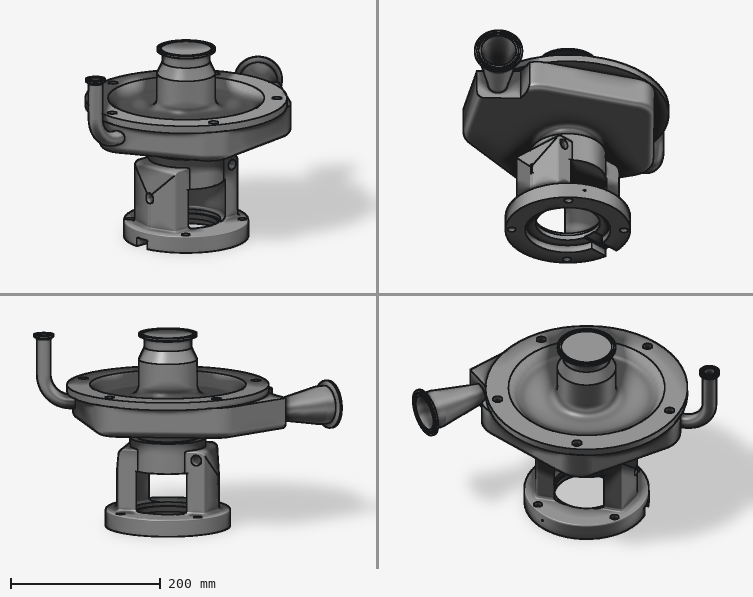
import cadquery as cq
import math

base_radius = 83.5
base_height = 23.3
base_edge_radius = 2.5
base_bore_radius = 46.0
base_lip_radius = 43.0
base_lip_bottom = 10.8
base_recess_radius = 57.0
base_lip_top = 18.0
pedestal_bore_radius = 52.2
base_bolt_radius = 75.0
base_bolt_diameter = 11.0
base_bolt_count = 4
first_base_bolt_angle = 45.0
notch_width = 20.0
notch_height = 12.4
notch_chamfer = 1.5
pin_hole_diameter = 2.0
pin_hole_depth = 5.0
pin_hole_y = 41.7
pin_hole_z = 12.6

leg_half_width = 39.2
leg_top = 109.0
leg_shoulder_y = 58.8
leg_nose_y = 69.5
leg_nose_half_width = 3.2
leg_slope_start = 71.0
leg_slope_end_y = 57.4
leg_edge_radius = 2.5
leg_shoulder_radius = 9.0
foot_radius = 5.0
leg_hole_diameter = 14.0
leg_hole_z = 66.0
leg_slit_width = 3.6
cross_hole_y = 47.6
cross_hole_z = 97.2

collar_radius = 50.7
collar_bottom = 79.0
collar_top = 120.0
neck_radius = 41.5
neck_chamfer = 1.0
neck_flare_radius = 10.0

casing_bottom = 139.2
casing_top = 181.7
casing_face_distance = 115.3
casing_corner_radius = 35.0
casing_edge_radius = 10.0
casing_side_count = 5
first_corner_angle = 189.0
outlet_side_angle = 54.9
outlet_side_distance = 139.7
outlet_face_angle = 135.0
outlet_face_distance = 109.1
tongue_shift = 11.8
tongue_arc_end_angle = 117.0
tongue_side_angle = 73.0

flange_radius = 135.0
flange_top = 191.7
flange_bolt_radius = 121.6
flange_bolt_diameter = 12.5
flange_first_bolt_angle = 45.0
dish_rim_radius = 104.5
dish_cone_radius = 93.3
dish_cone_angle = 45.0
dish_blend_radius = 15.0

suction_top = 261.0
suction_large_radius = 39.2
suction_large_top = 226.2
suction_tube_radius = 31.75
suction_tube_bottom = 242.4
suction_clamp_radius = 38.9
suction_groove_inner = 34.0
suction_groove_outer = 36.6

nozzle_axis_offset = 95.0
nozzle_height = 160.6
nozzle_length = 86.0
nozzle_clamp_radius = 32.0
nozzle_tube_radius = 25.4
nozzle_tube_length = 18.5
nozzle_end_radius = 13.3
nozzle_end_length = 1.5
nozzle_bore_radius = 23.4
nozzle_bore_length = 12.2
nozzle_reducer_radius = 22.0
nozzle_reducer_depth = 25.0
nozzle_bore_end_radius = 11.0
nozzle_groove_inner = 26.5
nozzle_groove_outer = 29.0

drain_y = -170.1
drain_height = 163.0
drain_top = 252.8
drain_bend_radius = 35.5
drain_pipe_radius = 9.5
drain_bore_radius = 7.5
drain_clamp_radius = 13.2
drain_groove_inner = 9.5
drain_groove_outer = 11.5

ferrule_rim = 2.8
ferrule_taper = 3.0
groove_depth = 0.8

tolerance = 0.1


def polar(radius, angle):
    """Point at a radius and an angle in degrees."""
    return cq.Vector(radius * math.cos(math.radians(angle)), radius * math.sin(math.radians(angle)), 0)


def cylinder(radius, bottom, top):
    return cq.Workplane("XY", origin=(0, 0, bottom)).circle(radius).extrude(top - bottom)


def revolve_profile(profile):
    """Turn a closed (radius, height) profile drawn on XZ about the Z axis."""
    return profile.close().revolve(360, (0, 0, 0), (0, 1, 0))


def line_crossing(angle_a, distance_a, angle_b, distance_b):
    """Crossing of two lines, each given by its normal angle and distance from the axis."""
    turn = math.radians(angle_b - angle_a)
    along = (distance_b - distance_a * math.cos(turn)) / math.sin(turn)
    return polar(distance_a, angle_a) + polar(along, angle_a + 90)


def ferrule(face_z, rim_radius, tube_radius, groove_inner, groove_outer):
    """Clamp ferrule with a gasket groove; its sealing face points up at face_z."""
    rim_bottom = face_z - ferrule_rim
    body = revolve_profile(
        cq.Workplane("XZ")
        .moveTo(0, face_z)
        .lineTo(rim_radius, face_z)
        .lineTo(rim_radius, rim_bottom)
        .lineTo(tube_radius, rim_bottom - ferrule_taper)
        .lineTo(0, rim_bottom - ferrule_taper)
    )
    groove = (
        cq.Workplane("XY", origin=(0, 0, face_z))
        .circle(groove_outer)
        .circle(groove_inner)
        .extrude(-groove_depth)
    )
    return body.cut(groove)


def leg_block():
    """Solid block for both legs: a plan with vee-shaped ends, trimmed by a sloping side profile."""
    plan = (
        cq.Workplane("XY")
        .moveTo(leg_half_width, -leg_shoulder_y)
        .lineTo(leg_half_width, leg_shoulder_y)
        .lineTo(leg_nose_half_width, leg_nose_y)
        .lineTo(-leg_nose_half_width, leg_nose_y)
        .lineTo(-leg_half_width, leg_shoulder_y)
        .lineTo(-leg_half_width, -leg_shoulder_y)
        .lineTo(-leg_nose_half_width, -leg_nose_y)
        .lineTo(leg_nose_half_width, -leg_nose_y)
        .close()
        .extrude(leg_top)
        .faces(">X or <X").edges("|Z").fillet(leg_edge_radius)
    )
    slope = (leg_nose_y - leg_slope_end_y) / (leg_top - leg_slope_start)
    profile = (
        cq.Workplane("YZ")
        .moveTo(-leg_nose_y - slope * leg_slope_start, 0)
        .lineTo(-leg_slope_end_y, leg_top)
        .lineTo(leg_slope_end_y, leg_top)
        .lineTo(leg_nose_y + slope * leg_slope_start, 0)
        .close()
        .extrude(leg_half_width, both=True)
        .faces(">Z").edges("|X").fillet(leg_shoulder_radius)
        .faces(">X or <X").edges("not <Z").fillet(leg_edge_radius)
    )
    return plan.intersect(profile)


def pedestal():
    base = cylinder(base_radius, 0, base_height).faces(">Z").edges().fillet(base_edge_radius)
    body = base.union(leg_block())
    foot_zone = cq.selectors.BoxSelector(
        (-leg_half_width - tolerance, -leg_nose_y - tolerance, base_height - tolerance),
        (leg_half_width + tolerance, leg_nose_y + tolerance, base_height + tolerance),
        boundingbox=True,
    )
    body = body.edges(foot_zone).fillet(foot_radius)
    bore = revolve_profile(
        cq.Workplane("XZ")
        .moveTo(0, base_height)
        .lineTo(pedestal_bore_radius - foot_radius, base_height)
        .radiusArc((pedestal_bore_radius, base_height + foot_radius), -foot_radius)
        .lineTo(pedestal_bore_radius, collar_bottom)
        .lineTo(0, collar_bottom)
    )
    body = body.cut(bore)
    body = body.cut(cylinder(base_lip_radius, 0, base_height))
    body = body.cut(cylinder(base_recess_radius, 0, base_lip_bottom))
    body = body.cut(cylinder(base_bore_radius, base_lip_top, base_height))
    return body.union(cylinder(collar_radius, collar_bottom, collar_top))


def pedestal_cuts():
    bolts = (
        cq.Workplane("XY")
        .polarArray(base_bolt_radius, first_base_bolt_angle, 360, base_bolt_count)
        .circle(base_bolt_diameter / 2)
        .extrude(base_height)
    )
    notch = (
        cq.Workplane("XY", origin=(0, -base_radius / 2, 0))
        .box(notch_width, base_radius, notch_height, centered=(True, True, False))
        .faces(">Z").edges("|Y").chamfer(notch_chamfer)
    )
    pin_hole_floor = -math.sqrt(base_radius**2 - pin_hole_y**2) + pin_hole_depth
    pin_hole = (
        cq.Workplane("YZ", origin=(pin_hole_floor, pin_hole_y, pin_hole_z))
        .circle(pin_hole_diameter / 2)
        .extrude(-base_radius)
    )
    leg_hole = (
        cq.Workplane("XZ", origin=(0, 0, leg_hole_z))
        .circle(leg_hole_diameter / 2)
        .extrude(base_radius)
    )
    leg_slit = (
        cq.Workplane("XZ", origin=(0, 0, leg_hole_z))
        .rect(leg_slit_width, leg_hole_diameter)
        .extrude(-base_radius)
    )
    cross_hole = (
        cq.Workplane("YZ", origin=(0, cross_hole_y, cross_hole_z))
        .circle(leg_hole_diameter / 2)
        .extrude(base_radius, both=True)
    )
    return [bolts, notch, pin_hole, leg_hole, leg_slit, cross_hole]


def neck():
    return revolve_profile(
        cq.Workplane("XZ")
        .moveTo(0, collar_top)
        .lineTo(neck_radius - neck_chamfer, collar_top)
        .lineTo(neck_radius, collar_top + neck_chamfer)
        .lineTo(neck_radius, casing_bottom - neck_flare_radius)
        .radiusArc((neck_radius + neck_flare_radius, casing_bottom), neck_flare_radius)
        .lineTo(0, casing_bottom)
    )


def add_corner(path, center, start_angle, end_angle):
    """Extend the casing outline with a corner arc between two normal angles."""
    middle = center + polar(casing_corner_radius, (start_angle + end_angle) / 2)
    end = center + polar(casing_corner_radius, end_angle)
    return path.threePointArc((middle.x, middle.y), (end.x, end.y))


def casing():
    """Volute block: four outer sides, the outlet side and face, and the tongue beside the outlet."""
    sector = 360 / casing_side_count
    center_distance = casing_face_distance - casing_corner_radius
    regular_radius = center_distance / math.cos(math.radians(sector / 2))

    corners = []
    for index in range(casing_side_count - 2):
        angle = first_corner_angle + index * sector
        corners.append((polar(regular_radius, angle), angle - sector / 2, angle + sector / 2))
    last_side_angle = corners[-1][2] - 360
    outlet_center = line_crossing(
        last_side_angle, center_distance, outlet_side_angle, outlet_side_distance - casing_corner_radius
    )
    corners.append((outlet_center, last_side_angle, outlet_side_angle))

    tongue_angle = first_corner_angle - sector
    tongue_side_normal = tongue_angle + sector / 2
    tongue_center = polar(regular_radius, tongue_angle) + polar(tongue_shift, tongue_side_normal - 90)
    tongue_tip = tongue_center + polar(casing_corner_radius, tongue_arc_end_angle)
    tongue_reach = tongue_tip.dot(polar(1, tongue_side_angle))

    outline = cq.Workplane("XY", origin=(0, 0, casing_bottom))
    outline = outline.moveTo(tongue_tip.x, tongue_tip.y)
    outline = add_corner(outline, tongue_center, tongue_arc_end_angle, tongue_side_normal)
    for center, start_angle, end_angle in corners:
        start = center + polar(casing_corner_radius, start_angle)
        outline = add_corner(outline.lineTo(start.x, start.y), center, start_angle, end_angle)
    outlet_corner = line_crossing(
        outlet_side_angle, outlet_side_distance, outlet_face_angle, outlet_face_distance
    )
    throat = line_crossing(tongue_side_angle, tongue_reach, outlet_face_angle, outlet_face_distance)
    body = (
        outline.lineTo(outlet_corner.x, outlet_corner.y)
        .lineTo(throat.x, throat.y)
        .close()
        .extrude(casing_top - casing_bottom)
    )

    def is_rounded(edge):
        """Every bottom edge is rounded except at the outlet face and the tongue side."""
        middle = edge.positionAt(0.5)
        on_outlet = abs(middle.dot(polar(1, outlet_face_angle)) - outlet_face_distance) < tolerance
        on_tongue = abs(middle.dot(polar(1, tongue_side_angle)) - tongue_reach) < tolerance
        return not (on_outlet or on_tongue)

    bottom_edges = [edge for edge in body.faces("<Z").edges().vals() if is_rounded(edge)]
    return body.newObject(bottom_edges).fillet(casing_edge_radius)


def cover():
    """Casing flange, its conical dish and the blended suction tube in one turned body."""
    blend_drop = dish_blend_radius * (1 - math.cos(math.radians(dish_cone_angle)))
    blend_run = dish_blend_radius * math.sin(math.radians(dish_cone_angle))
    cone_bottom = flange_top - (dish_rim_radius - dish_cone_radius) * math.tan(math.radians(dish_cone_angle))
    floor = cone_bottom - blend_drop
    floor_radius = dish_cone_radius - blend_run
    tube_blend = suction_large_radius + dish_blend_radius
    body = revolve_profile(
        cq.Workplane("XZ")
        .moveTo(0, casing_top - dish_blend_radius)
        .lineTo(dish_rim_radius, casing_top - dish_blend_radius)
        .lineTo(dish_rim_radius, casing_top)
        .lineTo(flange_radius, casing_top)
        .lineTo(flange_radius, flange_top)
        .lineTo(dish_rim_radius, flange_top)
        .lineTo(dish_cone_radius, cone_bottom)
        .radiusArc((floor_radius, floor), dish_blend_radius)
        .lineTo(tube_blend, floor)
        .radiusArc((suction_large_radius, floor + dish_blend_radius), dish_blend_radius)
        .lineTo(suction_large_radius, suction_large_top)
        .lineTo(suction_tube_radius, suction_tube_bottom)
        .lineTo(suction_tube_radius, suction_top - ferrule_rim)
        .lineTo(0, suction_top - ferrule_rim)
    )
    return body.union(ferrule(
        suction_top, suction_clamp_radius, suction_tube_radius, suction_groove_inner, suction_groove_outer
    ))


def dish_cut():
    """Space above the dish, which the casing top would otherwise fill."""
    return cylinder(dish_rim_radius, casing_top - dish_blend_radius, flange_top)


def flange_bolts():
    return (
        cq.Workplane("XY", origin=(0, 0, casing_top))
        .polarArray(flange_bolt_radius, flange_first_bolt_angle, 360, casing_side_count)
        .circle(flange_bolt_diameter / 2)
        .extrude(flange_top - casing_top)
    )


def place_nozzle(shape):
    """Move a shape from the upright Z axis to the horizontal discharge axis."""
    root = polar(outlet_face_distance, outlet_face_angle)
    root += polar(nozzle_axis_offset, outlet_face_angle - 90)
    return (
        shape.rotate((0, 0, 0), (0, 1, 0), 90)
        .rotate((0, 0, 0), (0, 0, 1), outlet_face_angle)
        .translate((root.x, root.y, nozzle_height))
    )


def nozzle():
    cone_top = nozzle_length - nozzle_tube_length
    body = revolve_profile(
        cq.Workplane("XZ")
        .lineTo(nozzle_end_radius, 0)
        .lineTo(nozzle_end_radius, nozzle_end_length)
        .lineTo(nozzle_tube_radius, cone_top)
        .lineTo(nozzle_tube_radius, nozzle_length - ferrule_rim)
        .lineTo(0, nozzle_length - ferrule_rim)
    )
    return place_nozzle(body.union(ferrule(
        nozzle_length, nozzle_clamp_radius, nozzle_tube_radius, nozzle_groove_inner, nozzle_groove_outer
    )))


def nozzle_bore():
    return place_nozzle(revolve_profile(
        cq.Workplane("XZ")
        .lineTo(nozzle_bore_end_radius, 0)
        .lineTo(nozzle_reducer_radius, nozzle_length - nozzle_reducer_depth)
        .lineTo(nozzle_bore_radius, nozzle_length - nozzle_bore_length)
        .lineTo(nozzle_bore_radius, nozzle_length)
        .lineTo(0, nozzle_length)
    ))


def drain_sweep(radius):
    """Round bar along the drain path, from inside the casing wall up to the clamp face."""
    start_y = -casing_face_distance
    diagonal = drain_bend_radius * math.sqrt(0.5)
    bend_center_y = drain_y + drain_bend_radius
    bend_center_z = drain_height + drain_bend_radius
    path = (
        cq.Workplane("YZ")
        .moveTo(start_y, drain_height)
        .lineTo(bend_center_y, drain_height)
        .threePointArc(
            (bend_center_y - diagonal, bend_center_z - diagonal),
            (drain_y, bend_center_z),
        )
        .lineTo(drain_y, drain_top)
    )
    return cq.Workplane("XZ", origin=(0, start_y, drain_height)).circle(radius).sweep(path)


def drain_pipe():
    clamp = ferrule(
        drain_top, drain_clamp_radius, drain_pipe_radius, drain_groove_inner, drain_groove_outer
    ).translate((0, drain_y, 0))
    return drain_sweep(drain_pipe_radius).union(clamp)


stand = pedestal()
for cutter in pedestal_cuts():
    stand = stand.cut(cutter)

result = stand.union(neck()).union(casing().cut(dish_cut())).union(cover())
result = result.union(nozzle()).union(drain_pipe())
for cutter in (flange_bolts(), nozzle_bore(), drain_sweep(drain_bore_radius)):
    result = result.cut(cutter)